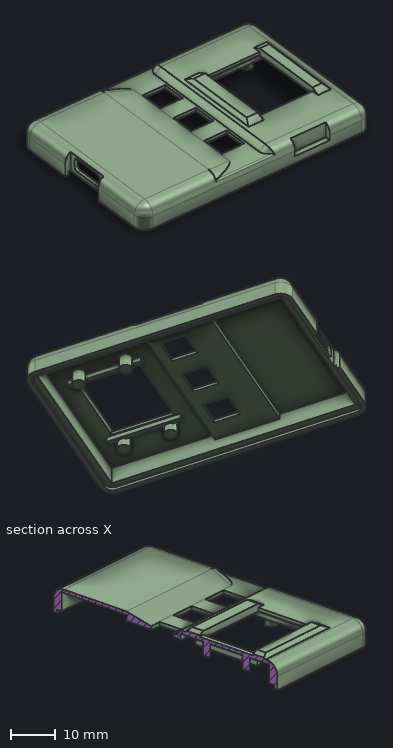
import cadquery as cq

LENGTH = 65.25
WIDTH = 43.7
DECK_Z = 6.5
EDGE_R = 3.0
CEILING = 1.0
WALL = 2.5
LID_STEP_DEPTH = 0.9
LID_STEP_WALL = 1.0

FLOOR_DEPTH = 1.5
FLOOR_Z = DECK_Z - FLOOR_DEPTH
FLOOR_EDGE_R = 0.5
STEP_TOP_Y = 4.6
STEP_FOOT_Y = 3.0
RAMP_TOP_Y = -11.4
RAMP_FOOT_Y = -4.4
RAMP_SIDE_INSET = 1.7

KEY_SIZE = 6.3
KEY_PITCH = 11.1
KEY_Y = -0.85

WINDOW_WIDTH = 19.05
WINDOW_Y_MIN = 10.0
WINDOW_Y_MAX = 25.45
BAR_HEIGHT = 1.0
BAR_END_RUN = 2.0
BAR_SIDE_RUN = 1.0
BAR_TOP_DEPTH_NORTH = 2.7
BAR_TOP_DEPTH_SOUTH = 3.25

RIB_DEPTH = 1.4
RIB_SETBACK = 0.25
RIB_WIDTH = 1.0
RIB_OVERRUN = 1.3

POST_DIA = 2.95
POST_BOTTOM_Z = 2.2
POST_X = 11.75
POST_Y = 23.5

PORT_WIDTH = 11.9
PORT_DEPTH = 1.5
SLOT_WIDTH = 9.0
SLOT_BOTTOM_Z = 2.0
SLOT_TOP_Z = 5.4
SLOT_R = 1.0

POCKET_LENGTH = 10.0
POCKET_DEPTH = 1.5
POCKET_Y = 15.7
POCKET_FLOOR_Z = SLOT_BOTTOM_Z


def box(x_min, x_max, y_min, y_max, z_min, z_max):
    """Axis-aligned block given by its limits."""
    return cq.Workplane("XY").box(
        x_max - x_min, y_max - y_min, z_max - z_min, centered=False
    ).translate((x_min, y_min, z_min))


def centred_box(width, y_min, y_max, z_min, z_max):
    """Block centred on X = 0."""
    return box(-width / 2, width / 2, y_min, y_max, z_min, z_max)


def rounded_block():
    block = cq.Workplane("XY").rect(WIDTH, LENGTH).extrude(DECK_Z)
    return block.edges("|Z").fillet(EDGE_R).faces(">Z").edges().fillet(EDGE_R)


def display_half(block):
    """Full-height +Y part, ending in a steep bank with rounded flanks."""
    slope = (STEP_TOP_Y - STEP_FOOT_Y) / FLOOR_DEPTH
    bank = (
        cq.Workplane("YZ")
        .polyline([
            (STEP_TOP_Y - slope * DECK_Z, 0),
            (LENGTH / 2, 0),
            (LENGTH / 2, DECK_Z),
            (STEP_TOP_Y, DECK_Z),
        ])
        .close()
        .extrude(WIDTH / 2, both=True)
    )
    flank_edges = "not(|X or |Y or |Z)"
    return block.intersect(bank.edges(flank_edges).fillet(EDGE_R))


def port_half(block):
    """Full-height -Y part, running down to the key floor along a ramp."""
    flat = block.intersect(centred_box(WIDTH, -LENGTH / 2, RAMP_TOP_Y, 0, DECK_Z))
    plan = (
        cq.Workplane("XY")
        .polyline([
            (-WIDTH / 2, RAMP_TOP_Y),
            (WIDTH / 2, RAMP_TOP_Y),
            (WIDTH / 2 - RAMP_SIDE_INSET, RAMP_FOOT_Y),
            (-WIDTH / 2 + RAMP_SIDE_INSET, RAMP_FOOT_Y),
        ])
        .close()
        .extrude(DECK_Z)
    )
    profile = (
        cq.Workplane("YZ")
        .polyline([(RAMP_TOP_Y, 0), (RAMP_FOOT_Y, 0), (RAMP_FOOT_Y, FLOOR_Z), (RAMP_TOP_Y, DECK_Z)])
        .close()
        .extrude(WIDTH / 2, both=True)
    )
    ramp = plan.intersect(profile)
    ramp = ramp.faces(">Z").edges("not |X").fillet(EDGE_R)
    above_floor = centred_box(WIDTH, RAMP_TOP_Y, RAMP_FOOT_Y, FLOOR_Z, DECK_Z)
    return flat.union(ramp.intersect(above_floor))


def key_floor(block):
    """Lower part of the case up to the key floor, with softened rim."""
    floor = block.intersect(centred_box(WIDTH, -LENGTH / 2, LENGTH / 2, 0, FLOOR_Z))
    return floor.faces(">Z").edges().fillet(FLOOR_EDGE_R)


def raised_bar(inner_y, outward, top_depth):
    """Bar beside the display window; outward is +1 or -1 along Y."""
    top_z = DECK_Z + BAR_HEIGHT
    top_half = WINDOW_WIDTH / 2
    base_half = top_half + BAR_END_RUN
    top_y = inner_y + outward * top_depth
    base_y = top_y + outward * BAR_SIDE_RUN
    along = (
        cq.Workplane("XZ")
        .polyline([(-base_half, DECK_Z), (base_half, DECK_Z), (top_half, top_z), (-top_half, top_z)])
        .close()
        .extrude(LENGTH / 2, both=True)
    )
    across = (
        cq.Workplane("YZ")
        .polyline([(inner_y, DECK_Z), (base_y, DECK_Z), (top_y, top_z), (inner_y, top_z)])
        .close()
        .extrude(WIDTH / 2, both=True)
    )
    return along.intersect(across)


def cavity():
    """Hollow inside: deep under both halves, shallower under the key floor."""
    inner_width = WIDTH - 2 * WALL
    inner_y = LENGTH / 2 - WALL
    floor_ceiling = FLOOR_Z - CEILING
    deck_ceiling = DECK_Z - CEILING
    space = centred_box(inner_width, -inner_y, inner_y, 0, floor_ceiling)
    space = space.union(centred_box(inner_width, -inner_y, RAMP_TOP_Y, 0, deck_ceiling))
    space = space.union(centred_box(inner_width, STEP_TOP_Y, inner_y, 0, deck_ceiling))
    lid_step = centred_box(
        WIDTH - 2 * LID_STEP_WALL,
        -LENGTH / 2 + LID_STEP_WALL,
        LENGTH / 2 - LID_STEP_WALL,
        0,
        LID_STEP_DEPTH,
    ).edges("|Z").fillet(EDGE_R - LID_STEP_WALL)
    return space.union(lid_step)


def port_opening():
    """Recess through the -Y rim plus the rounded slot through its back wall."""
    recess_y = -LENGTH / 2 + PORT_DEPTH
    recess = centred_box(PORT_WIDTH, -LENGTH / 2, recess_y, 0, DECK_Z)
    slot = centred_box(SLOT_WIDTH, -LENGTH / 2, -LENGTH / 2 + WALL, SLOT_BOTTOM_Z, SLOT_TOP_Z)
    return recess.union(slot.edges("|Y").fillet(SLOT_R))


def side_pocket():
    return box(
        WIDTH / 2 - POCKET_DEPTH,
        WIDTH / 2,
        POCKET_Y - POCKET_LENGTH / 2,
        POCKET_Y + POCKET_LENGTH / 2,
        POCKET_FLOOR_Z,
        DECK_Z,
    )


def key_windows():
    points = [(column * KEY_PITCH, KEY_Y) for column in (-1, 0, 1)]
    return cq.Workplane("XY").pushPoints(points).rect(KEY_SIZE, KEY_SIZE).extrude(DECK_Z)


def window_ribs():
    ceiling_z = DECK_Z - CEILING
    inner_x = WINDOW_WIDTH / 2 + RIB_SETBACK
    rib = box(
        inner_x,
        inner_x + RIB_WIDTH,
        WINDOW_Y_MIN - RIB_OVERRUN,
        WINDOW_Y_MAX + RIB_OVERRUN,
        ceiling_z - RIB_DEPTH,
        ceiling_z,
    )
    return rib.union(rib.mirror("YZ"))


def posts():
    middle_y = (WINDOW_Y_MIN + WINDOW_Y_MAX) / 2
    return (
        cq.Workplane("XY")
        .workplane(offset=POST_BOTTOM_Z)
        .center(0, middle_y)
        .rect(2 * POST_X, 2 * (POST_Y - middle_y), forConstruction=True)
        .vertices()
        .circle(POST_DIA / 2)
        .extrude(DECK_Z - CEILING - POST_BOTTOM_Z)
    )


block = rounded_block()
case = key_floor(block).union(display_half(block)).union(port_half(block))
case = case.union(raised_bar(WINDOW_Y_MAX, 1, BAR_TOP_DEPTH_NORTH))
case = case.union(raised_bar(WINDOW_Y_MIN, -1, BAR_TOP_DEPTH_SOUTH))
case = case.cut(cavity()).union(window_ribs()).union(posts())
case = case.cut(centred_box(WINDOW_WIDTH, WINDOW_Y_MIN, WINDOW_Y_MAX, 0, DECK_Z))
result = case.cut(key_windows()).cut(port_opening()).cut(side_pocket())